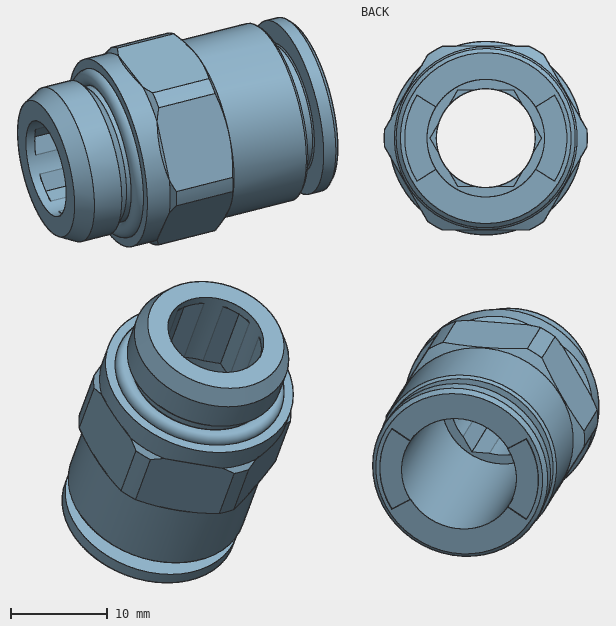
import cadquery as cq
import math

length = 29.2
lead_in_end = 1.8
thread_end = 4.9
relief_start = 5.87
flange_start = 7.0
flange_end = 9.58
hex_end = 17.05
body_end = 25.52
neck_start = 25.78
collar_start = 27.27
collar_face = 29.08

thread_diameter = 16.45
relief_diameter = 14.5
seal_diameter = 18.0
seal_section_diameter = 1.8
flange_diameter = 20.0
hex_corner_diameter = 21.0
body_diameter = 18.9
neck_diameter = 13.5
collar_diameter = 18.5

hex_across_flats = 19.0
hex_chamfer_angle = 30.0

body_chamfer = 0.3
collar_chamfer = 0.45
neck_chamfer = 0.15
neck_ledge = 0.12

tab_outer_diameter = 16.75
tab_half_angle = 32.0

bore_diameter = 10.2
key_across_flats = 10.0
key_start = 1.0
tube_diameter = 12.15
tube_stop = flange_end


def revolved(profile):
    """Turn a profile drawn with X as radius around the Y axis."""
    return profile.close().revolve(360, (0, 0, 0), (0, 1, 0))


def along_y(start):
    """Sketch plane square to the axis at the given station, with its normal toward -Y."""
    return cq.Workplane("XZ", origin=(0, start, 0))


def hexagon_corners(across_flats):
    """Distance across the corners of a regular hexagon."""
    return across_flats / math.cos(math.radians(30))


def hexagon(across_flats, start, end):
    """Hexagonal prism along Y with its corners on the X axis."""
    return along_y(start).polygon(6, hexagon_corners(across_flats)).extrude(start - end)


def cylinder(diameter, start, end):
    """Round bar centered on the Y axis."""
    return along_y(start).circle(diameter / 2).extrude(start - end)


def threaded_end():
    """Thread envelope with a lead-in chamfer and a thread relief."""
    relief_radius = relief_diameter / 2
    thread_radius = thread_diameter / 2
    return revolved(
        cq.Workplane("XY")
        .lineTo(relief_radius, 0)
        .lineTo(thread_radius, lead_in_end)
        .lineTo(thread_radius, thread_end)
        .lineTo(relief_radius, relief_start)
        .lineTo(relief_radius, flange_start)
        .lineTo(0, flange_start)
    )


def seal_ring():
    """Half of a round-section sealing ring, standing out of the flange face."""
    seal_radius = seal_diameter / 2
    section_radius = seal_section_diameter / 2
    outer_edge = (seal_radius, flange_start)
    crest = (seal_radius - section_radius, flange_start - section_radius)
    inner_edge = (seal_radius - seal_section_diameter, flange_start)
    return revolved(
        cq.Workplane("XY").moveTo(*inner_edge).threePointArc(crest, outer_edge)
    )


def flange():
    """Round flange, beveled at 45 degrees down to each wrench flat."""
    disc = cylinder(flange_diameter, flange_start, flange_end)
    flange_thickness = flange_end - flange_start
    bevel_base = hex_across_flats + 2 * flange_thickness
    bevel = (
        along_y(flange_start)
        .polygon(6, hexagon_corners(bevel_base))
        .workplane(offset=-flange_thickness)
        .polygon(6, hexagon_corners(hex_across_flats))
        .loft(ruled=True)
    )
    return disc.intersect(bevel)


def wrench_hexagon():
    """Hexagon with turned corners and chamfered ends."""
    corner_radius = hex_corner_diameter / 2
    flange_radius = flange_diameter / 2
    body_radius = body_diameter / 2
    rear_drop = (corner_radius - body_radius) * math.tan(math.radians(hex_chamfer_angle))
    front_rise = corner_radius - flange_radius
    envelope = revolved(
        cq.Workplane("XY")
        .moveTo(0, flange_end)
        .lineTo(flange_radius, flange_end)
        .lineTo(corner_radius, flange_end + front_rise)
        .lineTo(corner_radius, hex_end - rear_drop)
        .lineTo(body_radius, hex_end)
        .lineTo(0, hex_end)
    )
    return envelope.intersect(hexagon(hex_across_flats, flange_end, hex_end))


def body_and_collar():
    """Smooth body, neck and release collar."""
    body_radius = body_diameter / 2
    neck_radius = neck_diameter / 2
    collar_radius = collar_diameter / 2
    return revolved(
        cq.Workplane("XY")
        .moveTo(0, hex_end)
        .lineTo(body_radius, hex_end)
        .lineTo(body_radius, body_end - body_chamfer)
        .lineTo(body_radius - body_chamfer, body_end)
        .lineTo(neck_radius + neck_ledge, neck_start)
        .lineTo(neck_radius, neck_start)
        .lineTo(neck_radius, collar_start - neck_chamfer)
        .lineTo(neck_radius + neck_chamfer, collar_start)
        .lineTo(collar_radius, collar_start)
        .lineTo(collar_radius, collar_face - collar_chamfer)
        .lineTo(collar_radius - collar_chamfer, collar_face)
        .lineTo(0, collar_face)
    )


def release_tabs():
    """Two low raised sectors on the collar face, on the +X and -X sides."""
    disc = cylinder(tab_outer_diameter, collar_face, length)
    reach = tab_outer_diameter
    half_width = reach * math.tan(math.radians(tab_half_angle))
    sectors = along_y(collar_face)
    for side in (1, -1):
        sectors = sectors.polyline(
            [(0, 0), (side * reach, half_width), (side * reach, -half_width)]
        ).close()
    return disc.intersect(sectors.extrude(collar_face - length))


outside = (
    threaded_end()
    .union(flange())
    .union(seal_ring())
    .union(wrench_hexagon())
    .union(body_and_collar())
    .union(release_tabs())
)

result = (
    outside
    .cut(cylinder(bore_diameter, 0, length))
    .cut(hexagon(key_across_flats, key_start, tube_stop))
    .cut(cylinder(tube_diameter, tube_stop, length))
)